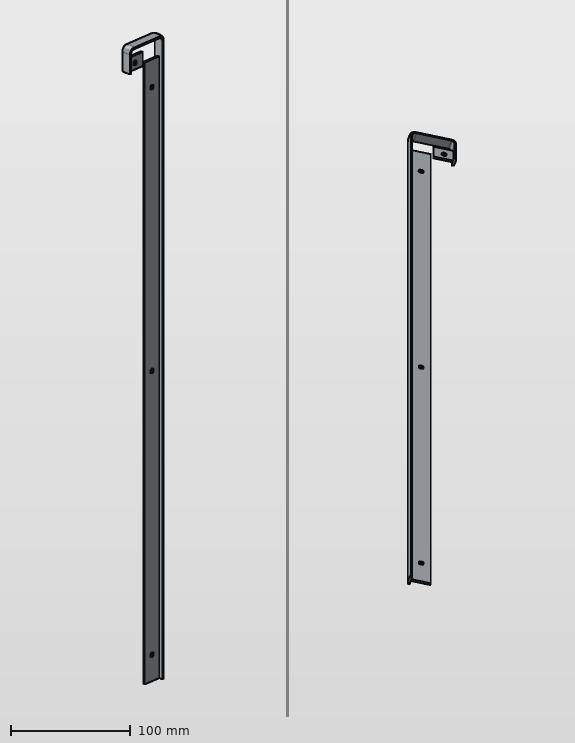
import cadquery as cq

height = 601.0
depth = 41.0
strap_width = 9.0

strap_thickness = 2.5
strap_edge_thickness = 1.7
bend_radius = 5.5
front_leg_length = 24.0

web_thickness = 2.1
web_reach = 19.0
web_top = 579.5
lug_height = 13.0

hole_diameter = 4.0
web_hole_inset = 11.0
web_hole_start = 24.5
web_hole_spacing = 264.5
web_hole_count = 3
lug_hole_inset = 10.0
lug_hole_rise = 6.0

back = depth / 2
front = -depth / 2
front_leg_bottom = height - front_leg_length
overlap = strap_edge_thickness


def make_strap():
    """Sweep the domed section up the long leg, over the top and down the short leg."""
    bend_start = height - bend_radius
    path = (
        cq.Workplane("YZ")
        .moveTo(back, 0)
        .lineTo(back, bend_start)
        .radiusArc((back - bend_radius, height), -bend_radius)
        .lineTo(front + bend_radius, height)
        .radiusArc((front, bend_start), -bend_radius)
        .lineTo(front, front_leg_bottom)
    )
    half_width = strap_width / 2
    inner_face = back - strap_thickness
    dome_edge = inner_face + strap_edge_thickness
    section = (
        cq.Workplane("XY")
        .moveTo(-half_width, inner_face)
        .lineTo(half_width, inner_face)
        .lineTo(half_width, dome_edge)
        .threePointArc((0, back), (-half_width, dome_edge))
        .close()
    )
    return section.sweep(path)


def make_plate(y_min, y_max, z_min, z_max):
    """Make a thin plate centred across the strap width."""
    return cq.Workplane("XY").box(
        web_thickness, y_max - y_min, z_max - z_min, centered=(True, False, False)
    ).translate((0, y_min, z_min))


def make_holes():
    """Make the cutters for the row of web holes and the single lug hole."""
    centres = [
        (back - web_hole_inset, web_hole_start + i * web_hole_spacing)
        for i in range(web_hole_count)
    ]
    centres.append((front + lug_hole_inset, front_leg_bottom + lug_hole_rise))
    return (
        cq.Workplane("YZ")
        .pushPoints(centres)
        .circle(hole_diameter / 2)
        .extrude(web_thickness, both=True)
    )


web = make_plate(back - web_reach, back - overlap, 0, web_top)
lug = make_plate(
    front + overlap, front + web_reach, front_leg_bottom, front_leg_bottom + lug_height
)
result = make_strap().union(web).union(lug).cut(make_holes())